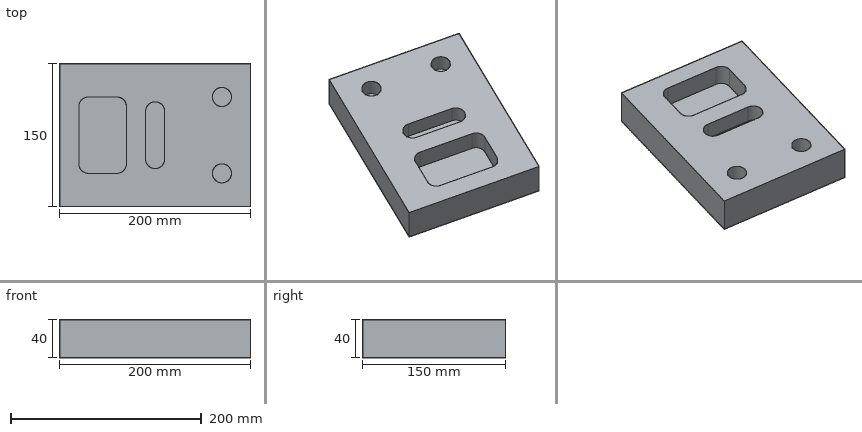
import cadquery as cq

length = 200
width = 150
height = 40

pocket_length = 50
pocket_width = 80
pocket_corner_radius = 10
pocket_depth = 24
pocket_x = -55.0

slot_length = 70
slot_width = 20
slot_depth = 20
slot_x = 0

hole_diameter = 20
hole_depth = 20
hole_x = 70
hole_spacing = pocket_width


def make_block():
    return cq.Workplane("XY").box(length, width, height, centered=(True, True, False))


def make_pocket():
    return (
        cq.Workplane("XY", origin=(pocket_x, 0, height))
        .rect(pocket_length, pocket_width)
        .extrude(-pocket_depth)
        .edges("|Z")
        .fillet(pocket_corner_radius)
    )


def make_slot():
    return (
        cq.Workplane("XY", origin=(slot_x, 0, height))
        .slot2D(slot_length, slot_width, angle=90)
        .extrude(-slot_depth)
    )


def make_holes():
    return (
        cq.Workplane("XY", origin=(hole_x, 0, height))
        .rarray(2, hole_spacing, 1, 2)
        .circle(hole_diameter / 2)
        .extrude(-hole_depth)
    )


result = make_block().cut(make_pocket()).cut(make_slot()).cut(make_holes())